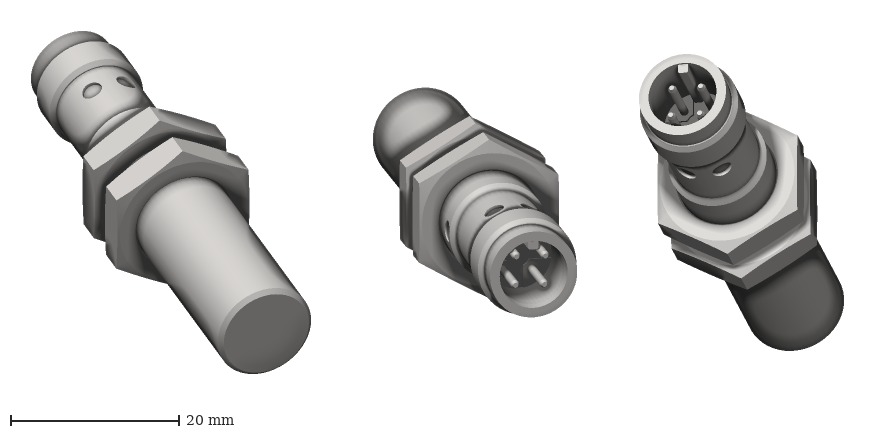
import cadquery as cq
import math


LENGTH = 60.0
THREAD_D = 12.0
THREAD_ROOT_D = 10.9
THREAD_CHAMFER = (THREAD_D - THREAD_ROOT_D) / 2
NECK_D = 10.6
COLLAR_START = 2.95
COLLAR_END = 8.05
SHOULDER_END = 18.55
SHOULDER_START = SHOULDER_END - (THREAD_D - NECK_D) / 2
SOCKET_D = 9.8

WINDOW_D = 2.5
WINDOW_X = 11.45
WINDOW_ANGLE = 25.0
TRIMMER_D = 2.5
TRIMMER_X = 19.9
TRIMMER_DEPTH = 0.6

CAVITY_D = 8.3
FLOOR_X = 8.4
INSERT_END = 9.6
CROSS_WIDTH = 1.25
CROSS_CENTRE_D = 3.0
CROSS_DEPTH = 0.3
KEY_HEIGHT = 1.15
KEY_START = 0.3
KEY_CHAMFER = 0.2
PIN_D = 1.0
PIN_TIP_D = 0.6
PIN_TIP_LENGTH = 0.5
PIN_TIP_X = 1.6
PIN_CIRCLE_D = 5.0
PIN_COUNT = 4
PIN_TURN = 2.0

GUIDE_END = 13.2

NUT_WIDTH = 17.0
NUT_THICKNESS = 4.0
NUT_FACE_D = 16.45
NUT_CHAMFER_ANGLE = 15.0
NUT_BORE_CHAMFER = 0.21
NUT_PLACES = ((23.5, 0.2), (30.5, -0.2))


def disc(diameter, start, end):
    """Solid cylinder on the X axis."""
    return cq.Workplane("YZ", origin=(start, 0, 0)).circle(diameter / 2).extrude(end - start)


def revolved(profile):
    """Solid turned about the X axis from (x, radius) points."""
    return cq.Workplane("XY").polyline(profile).close().revolve(360, (0, 0, 0), (1, 0, 0))


def make_housing():
    neck_r = NECK_D / 2
    root_r = THREAD_ROOT_D / 2
    thread_r = THREAD_D / 2
    housing = revolved([
        (0, 0),
        (0, neck_r),
        (COLLAR_START, neck_r),
        (COLLAR_START, root_r),
        (COLLAR_START + THREAD_CHAMFER, thread_r),
        (COLLAR_END - THREAD_CHAMFER, thread_r),
        (COLLAR_END, root_r),
        (COLLAR_END, neck_r),
        (SHOULDER_START, neck_r),
        (SHOULDER_END, thread_r),
        (LENGTH - THREAD_CHAMFER, thread_r),
        (LENGTH, root_r),
        (LENGTH, 0),
    ])
    housing = housing.cut(disc(SOCKET_D, 0, GUIDE_END))

    window = cq.Workplane("XY", origin=(WINDOW_X, 0, 0)).circle(WINDOW_D / 2).extrude(NECK_D)
    for side in (0, 180):
        for tilt in (-WINDOW_ANGLE, WINDOW_ANGLE):
            housing = housing.cut(window.rotate((0, 0, 0), (1, 0, 0), side + tilt))

    trimmer_floor = thread_r - TRIMMER_DEPTH
    trimmer = (
        cq.Workplane("XZ", origin=(TRIMMER_X, trimmer_floor, 0))
        .circle(TRIMMER_D / 2)
        .extrude(-2 * TRIMMER_DEPTH)
    )
    return housing.cut(trimmer)


def make_pin():
    """Contact pin on the X axis with a tapered tip."""
    return revolved([
        (PIN_TIP_X, 0),
        (PIN_TIP_X, PIN_TIP_D / 2),
        (PIN_TIP_X + PIN_TIP_LENGTH, PIN_D / 2),
        (FLOOR_X, PIN_D / 2),
        (FLOOR_X, 0),
    ])


def make_insert():
    cavity_r = CAVITY_D / 2
    cavity = disc(CAVITY_D, 0, FLOOR_X)
    insert = disc(SOCKET_D, 0, INSERT_END).cut(cavity)

    floor = cq.Workplane("YZ", origin=(FLOOR_X, 0, 0))
    cross = (
        floor.rect(CAVITY_D, CROSS_WIDTH).extrude(CROSS_DEPTH)
        .union(floor.rect(CROSS_WIDTH, CAVITY_D).extrude(CROSS_DEPTH))
        .union(floor.circle(CROSS_CENTRE_D / 2).extrude(CROSS_DEPTH))
        .intersect(disc(CAVITY_D, FLOOR_X, INSERT_END))
    )
    insert = insert.cut(cross)

    key = (
        cq.Workplane("YZ", origin=(KEY_START, 0, 0))
        .center(0, cavity_r - KEY_HEIGHT / 2)
        .rect(CROSS_WIDTH, KEY_HEIGHT)
        .extrude(FLOOR_X + CROSS_DEPTH - KEY_START)
        .edges("|X and <Z")
        .chamfer(KEY_CHAMFER)
    )
    key = key.intersect(disc(SOCKET_D, 0, INSERT_END))
    insert = insert.union(key)

    pin_offset = PIN_CIRCLE_D / 2
    for index in range(PIN_COUNT):
        angle = math.radians((index + 0.5) * 360 / PIN_COUNT + PIN_TURN)
        place = (0, pin_offset * math.cos(angle), pin_offset * math.sin(angle))
        insert = insert.union(make_pin().translate(place))
    return insert


def make_light_guide():
    return disc(SOCKET_D, INSERT_END, GUIDE_END)


def make_nut(start, turn):
    """Hexagon nut with corners at top and bottom and both faces chamfered."""
    corner_r = NUT_WIDTH / math.sqrt(3)
    face_r = NUT_FACE_D / 2
    chamfer_rise = (corner_r - face_r) * math.tan(math.radians(NUT_CHAMFER_ANGLE))
    hexagon = (
        cq.Workplane("YZ")
        .polygon(6, 2 * corner_r)
        .extrude(NUT_THICKNESS)
        .rotate((0, 0, 0), (1, 0, 0), 90 + turn)
    )
    chamfered_blank = revolved([
        (0, 0),
        (0, face_r),
        (chamfer_rise, corner_r),
        (NUT_THICKNESS - chamfer_rise, corner_r),
        (NUT_THICKNESS, face_r),
        (NUT_THICKNESS, 0),
    ])
    nut = hexagon.intersect(chamfered_blank)
    bore_r = THREAD_D / 2
    mouth_r = bore_r + NUT_BORE_CHAMFER
    bore = revolved([
        (0, 0),
        (0, mouth_r),
        (NUT_BORE_CHAMFER, bore_r),
        (NUT_THICKNESS - NUT_BORE_CHAMFER, bore_r),
        (NUT_THICKNESS, mouth_r),
        (NUT_THICKNESS, 0),
    ])
    nut = nut.cut(bore)
    return nut.translate((start, 0, 0))


housing = make_housing()
insert = make_insert()
light_guide = make_light_guide()
nuts = [make_nut(start, turn) for start, turn in NUT_PLACES]

result = cq.Compound.makeCompound(
    [housing.val(), insert.val(), light_guide.val(), *[nut.val() for nut in nuts]]
)